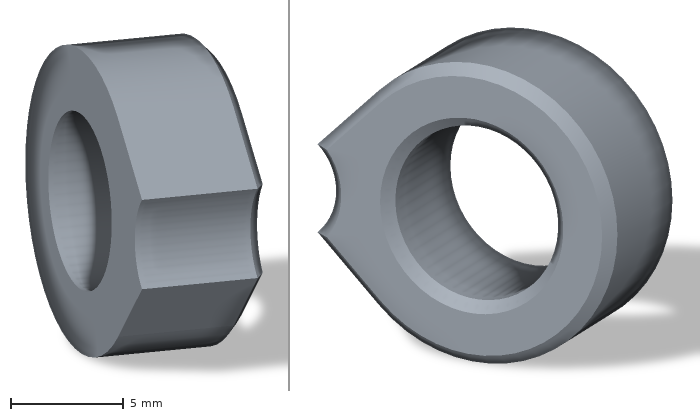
import cadquery as cq
import math

outer_radius = 7.0
bore_diameter = 8.1
thickness = 6.0
overall_length = 14.92
tip_half_width = 2.06
notch_depth = 0.93
chamfer = 0.5

tip_x = overall_length - outer_radius
notch_bottom_x = tip_x - notch_depth
tip_distance = math.hypot(tip_x, tip_half_width)
tangent_angle = math.atan2(tip_half_width, tip_x) + math.acos(outer_radius / tip_distance)
tangent_x = outer_radius * math.cos(tangent_angle)
tangent_z = outer_radius * math.sin(tangent_angle)

body = (
    cq.Workplane("XZ")
    .moveTo(tangent_x, tangent_z)
    .threePointArc((-outer_radius, 0), (tangent_x, -tangent_z))
    .lineTo(tip_x, -tip_half_width)
    .threePointArc((notch_bottom_x, 0), (tip_x, tip_half_width))
    .close()
    .extrude(-thickness)
)

bore = cq.Workplane("XZ").circle(bore_diameter / 2).extrude(-thickness)

result = body.cut(bore).faces(">Y").edges().chamfer(chamfer)